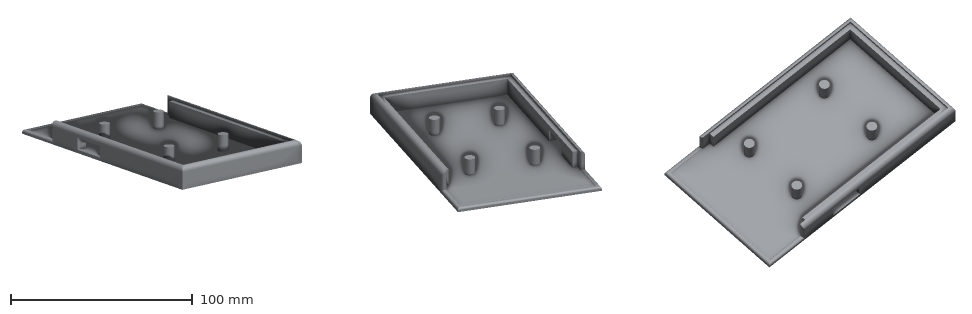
import cadquery as cq

length = 141.2
width = 84.3
height = 13.1
wall = 3.0
floor_thickness = 2.0

lip_height = 2.4
open_length = 25.8
lip_outer_radius = 1.3
lip_inner_radius = 1.0
rim_radius = wall

ledge_width = 3.0
ledge_top = height - 1.5
ledge_start_front = 30.6
ledge_start_back = 31.6

window_start = 48.7
window_length = 19.9
window_top = 8.6

pin_diameter = 6.0
pin_spacing_x = 56.9
pin_spacing_y = 38.1
first_pin_x = 43.1
first_pin_y = 23.6

margin = 0.1


def block(x0, x1, y0, y1, z0, z1):
    """Box spanning the given limits on each axis."""
    return cq.Workplane("XY").box(x1 - x0, y1 - y0, z1 - z0, centered=False).translate((x0, y0, z0))


def make_shell():
    """Walls with a rounded rim and a rounded lip around the open end."""
    shell = block(0, length, 0, width, 0, height)
    shell = shell.cut(block(0, open_length, 0, width, lip_height, height))

    lip_edges = cq.selectors.BoxSelector(
        (-margin, -margin, lip_height - margin),
        (open_length + margin, width + margin, height - margin),
    )
    inner_corner = cq.selectors.BoxSelector(
        (open_length - margin, margin, lip_height - margin),
        (open_length + margin, width - margin, lip_height + margin),
    )
    shell = shell.edges(lip_edges - inner_corner).fillet(lip_outer_radius)

    shell = shell.cut(block(wall, length - wall, wall, width - wall, 0, height))
    inner_edges = cq.selectors.BoxSelector(
        (wall - margin, wall - margin, lip_height - margin),
        (open_length + margin, width - wall + margin, height - margin),
    )
    return shell.edges(inner_edges).fillet(lip_inner_radius).intersect(make_rim_envelope())


def make_rim_envelope():
    """Outer block with a rounded top on its long sides and closed end, reaching past the open end."""
    envelope = block(-wall, length, 0, width, 0, height)
    return envelope.faces(">Z").edges("|X or >X").fillet(rim_radius)


def make_floor():
    return block(wall / 2, length - wall / 2, wall / 2, width - wall / 2, 0, floor_thickness)


def make_ledge():
    """Two side strips, starting at different places, joined by a strip along the closed end."""
    inset = wall + ledge_width
    end = length - wall
    front = block(ledge_start_front, end, wall, inset, 0, ledge_top)
    back = block(ledge_start_back, end, width - inset, width - wall, 0, ledge_top)
    closed_end = block(length - inset, end, wall, width - wall, 0, ledge_top)
    return front.union(back).union(closed_end)


def make_pins():
    centers = [
        (first_pin_x + i * pin_spacing_x, first_pin_y + j * pin_spacing_y)
        for i in range(2)
        for j in range(2)
    ]
    return cq.Workplane("XY").pushPoints(centers).circle(pin_diameter / 2).extrude(ledge_top)


def make_window():
    """Opening through the front wall and ledge, with its sill level with the floor."""
    window_end = window_start + window_length
    return block(window_start, window_end, 0, wall + ledge_width, floor_thickness, window_top)


result = make_shell().union(make_floor()).union(make_ledge()).union(make_pins()).cut(make_window())